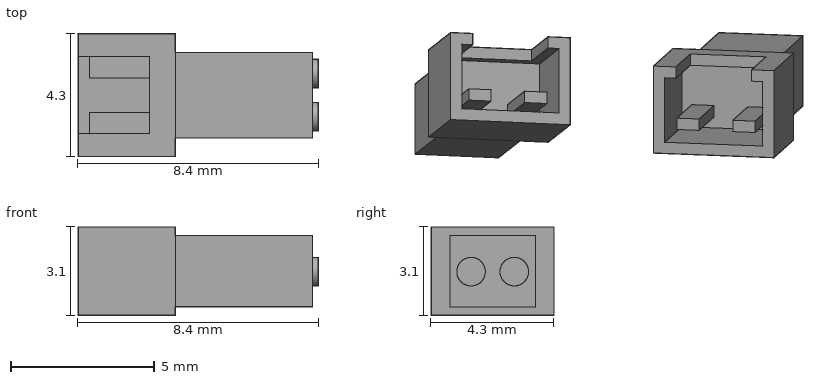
import cadquery as cq

total_length = 8.4
shroud_length = 3.4
shroud_width = 4.3
shroud_height = 3.1
wall = 0.4

wire_stub_length = 0.2
block_end = total_length - wire_stub_length
block_width = 3.0
block_height = 2.5

cavity_depth = 3.0
cavity_width = shroud_width - 2 * wall
cavity_height = shroud_height - 2 * wall
slot_length = 2.495
slot_width = 2.7

pin_width = 0.8
pin_thickness = 0.4
pin_pitch = 2.0
pin_recess = 0.4
pin_above_underside = 1.0
pin_height = pin_above_underside - shroud_height / 2

wire_diameter = 1.0
wire_pitch = 1.51
wire_height = -0.02


def box_along_x(start, end, width, height, z_center=0.0):
    """Box between two X positions, centred on Y = 0."""
    length = end - start
    return cq.Workplane("XY").box(length, width, height).translate((start + length / 2, 0, z_center))


def make_housing():
    shroud = box_along_x(0, shroud_length, shroud_width, shroud_height)
    block = box_along_x(shroud_length, block_end, block_width, block_height)
    cavity = box_along_x(0, cavity_depth, cavity_width, cavity_height)
    slot_height = shroud_height / 2
    slot = box_along_x(0, slot_length, slot_width, slot_height, slot_height / 2)
    return shroud.union(block).cut(cavity).cut(slot)


def make_pin(y):
    pin = box_along_x(pin_recess, cavity_depth, pin_width, pin_thickness, pin_height)
    return pin.translate((0, y, 0))


def make_wire(y):
    rear_face = cq.Workplane("YZ", origin=(block_end, y, wire_height))
    return rear_face.circle(wire_diameter / 2).extrude(wire_stub_length)


housing = make_housing()
pins = [make_pin(side * pin_pitch / 2) for side in (-1, 1)]
wires = [make_wire(side * wire_pitch / 2) for side in (-1, 1)]

result = cq.Compound.makeCompound([body.val() for body in [housing, *pins, *wires]])